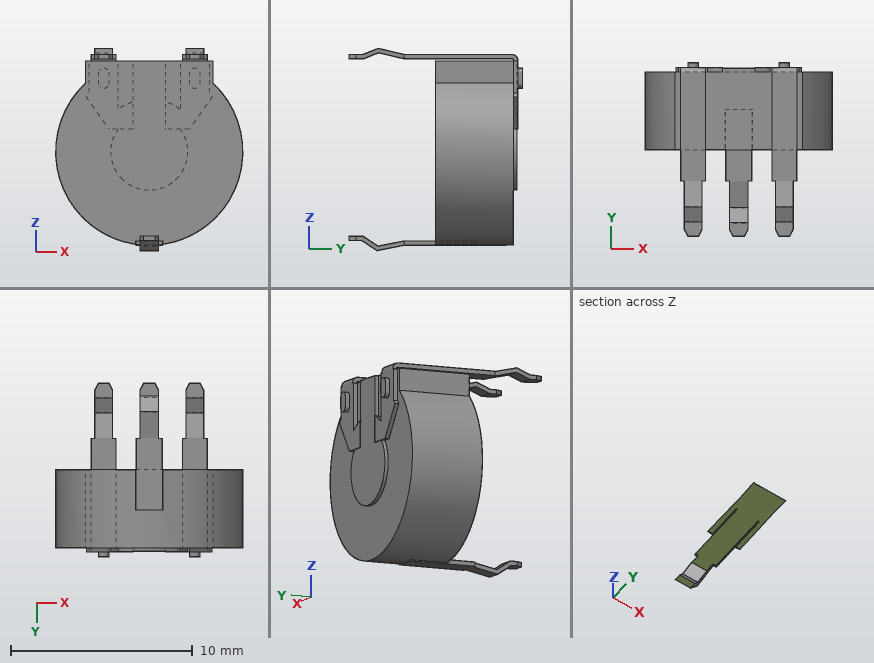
import cadquery as cq
import math

overall_height = 11.13

drum_diameter = 10.3
housing_depth = 4.3
neck_width = 7.01
neck_top = 5.0

pad_height = 0.2
pad_radius = 2.11
pad_neck_width = 1.8

sheet = 0.25
back_face = housing_depth + sheet
side_pitch = 5.01
side_strip_width = 1.38
side_strip_top = 5.35
bend_outer_radius = 0.33
shoulder_width = 1.59
centre_strip_width = 1.44
strip_reach = 1.71
side_pin_width = 0.99
centre_pin_width = 1.04

side_crest_reach = 3.14
side_crimp_end_reach = 3.97
centre_crest_reach = 3.2
centre_crimp_end_reach = 4.05
tip_reach = 4.75
side_crest_rise = 0.33
centre_tip_rise = 0.27
tip_taper_length = 0.39
tip_taper_inset = 0.2

slot_width = 1.52
slot_depth = 2.23

foot_outer_x = 3.46
foot_outer_z = 3.02
foot_flare_z = 3.22
foot_bottom_x = 2.23
foot_bottom_z = 1.26
foot_radius = 2.89

rivet_width = 0.59
rivet_length = 1.11
rivet_centre_z = 4.04
rivet_height = 0.26

drum_radius = drum_diameter / 2
pad_neck_edge = pad_neck_width / 2
side_x = side_pitch / 2
side_crest_z = side_strip_top + side_crest_rise
centre_crest_z = side_crest_z - overall_height


def box(x_limits, y_limits, z_limits):
    """Box between pairs of limits along X, Y and Z."""
    limits = (x_limits, y_limits, z_limits)
    sizes = [high - low for low, high in limits]
    corner = [low for low, high in limits]
    return cq.Workplane("XY").box(*sizes, centered=False).translate(tuple(corner))


def centred(x, width):
    return x - width / 2, x + width / 2


def mitred_sheet(path, thickness):
    """Closed outline of a bent sheet: one face, and the other offset to its left with mitred bends."""
    angles = [math.atan2(z1 - z0, y1 - y0) for (y0, z0), (y1, z1) in zip(path, path[1:])]
    angles = [angles[0]] + angles + [angles[-1]]
    other_face = []
    for (y, z), before, after in zip(path, angles, angles[1:]):
        middle = (before + after) / 2
        reach = thickness / math.cos((after - before) / 2)
        other_face.append((y - reach * math.sin(middle), z + reach * math.cos(middle)))
    return path + other_face[::-1]


def crimped_pin(width, crimp, thickness):
    """Pin on X = 0 with a tapered tip; crimp lists the outer face bends, thickness points inward."""
    first_z = crimp[0][1]
    last_z = crimp[-1][1]
    path = [(-tip_reach, first_z)] + crimp + [(0, last_z)]
    profile = cq.Workplane("YZ").polyline(mitred_sheet(path, thickness)).close()
    blank = profile.extrude(width / 2, both=True)
    half = width / 2
    tip_half = half - tip_taper_inset
    taper_start = tip_taper_length - tip_reach
    outline = [
        (-half, 0),
        (-half, taper_start),
        (-tip_half, -tip_reach),
        (tip_half, -tip_reach),
        (half, taper_start),
        (half, 0),
    ]
    plan = cq.Workplane("XY").polyline(outline).close().extrude(drum_diameter, both=True)
    return blank.intersect(plan)


def housing():
    drum = cq.Workplane("XZ").circle(drum_radius).extrude(-housing_depth)
    above_neck = box(centred(0, drum_diameter), (0, housing_depth), (neck_top, drum_diameter))
    neck = box(centred(0, neck_width), (0, housing_depth), (0, neck_top))
    disc = cq.Workplane("XZ").circle(pad_radius).extrude(-(housing_depth + pad_height))
    pad_neck = box(centred(0, pad_neck_width), (0, housing_depth + pad_height), (0, neck_top))
    slot = box(centred(0, slot_width), (0, slot_depth), (-drum_diameter, sheet - drum_radius))
    return drum.cut(above_neck).union(neck).union(disc).union(pad_neck).cut(slot)


def centre_terminal():
    strip = box(
        centred(0, centre_strip_width),
        (-strip_reach, slot_depth),
        (-drum_radius, sheet - drum_radius),
    )
    crimp = [
        (-centre_crimp_end_reach, centre_tip_rise - drum_radius),
        (-centre_crest_reach, centre_crest_z),
        (-strip_reach, -drum_radius),
    ]
    pin = crimped_pin(centre_pin_width, crimp, sheet)
    return strip.union(pin)


def bent_strip():
    """Strip that runs over the neck and bends down behind it."""
    inner_radius = bend_outer_radius - sheet
    bend_y = back_face - bend_outer_radius
    bend_z = side_strip_top - bend_outer_radius
    return (
        cq.Workplane("YZ", origin=(side_x, 0, 0))
        .moveTo(-strip_reach, side_strip_top)
        .lineTo(bend_y, side_strip_top)
        .radiusArc((back_face, bend_z), bend_outer_radius)
        .lineTo(back_face, rivet_centre_z)
        .lineTo(housing_depth, rivet_centre_z)
        .lineTo(housing_depth, bend_z)
        .radiusArc((bend_y, bend_z + inner_radius), -inner_radius)
        .lineTo(-strip_reach, bend_z + inner_radius)
        .close()
        .extrude(side_strip_width / 2, both=True)
    )


def terminal_foot():
    """Back plate: square shoulders, flared outer corner and an arc concentric with the pad."""
    shoulder_inner_x, shoulder_outer_x = centred(side_x, shoulder_width)

    def on_arc(x):
        return x, math.sqrt(foot_radius**2 - x**2)

    return (
        cq.Workplane("XZ", origin=(0, housing_depth, 0))
        .moveTo(shoulder_inner_x, neck_top)
        .lineTo(shoulder_outer_x, neck_top)
        .lineTo(shoulder_outer_x, foot_flare_z)
        .lineTo(foot_outer_x, foot_outer_z)
        .lineTo(foot_bottom_x, foot_bottom_z)
        .lineTo(pad_neck_edge, foot_bottom_z)
        .lineTo(*on_arc(pad_neck_edge))
        .radiusArc(on_arc(shoulder_inner_x), foot_radius)
        .close()
        .extrude(-sheet)
    )


def rivet():
    return (
        cq.Workplane("XZ", origin=(side_x, housing_depth, rivet_centre_z))
        .slot2D(rivet_length, rivet_width, 90)
        .extrude(-(sheet + rivet_height))
    )


def side_terminal():
    crimp = [
        (-side_crimp_end_reach, side_strip_top),
        (-side_crest_reach, side_crest_z),
        (-strip_reach, side_strip_top),
    ]
    pin = crimped_pin(side_pin_width, crimp, -sheet).translate((side_x, 0, 0))
    return bent_strip().union(pin).union(terminal_foot()).union(rivet())


right_terminal = side_terminal()
left_terminal = right_terminal.mirror("YZ")
result = housing().union(centre_terminal()).union(right_terminal).union(left_terminal)